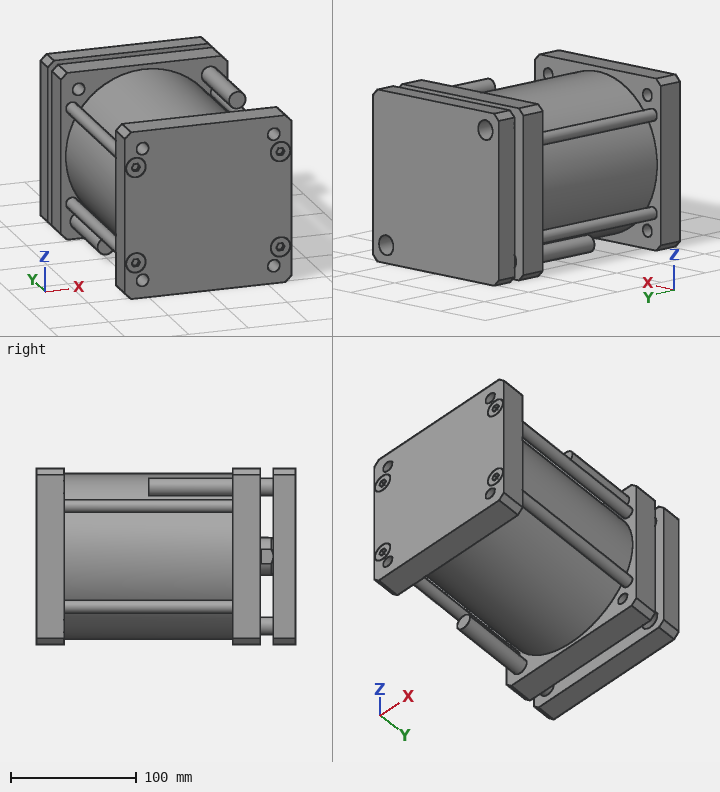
import cadquery as cq
import math

plate_width = 140.0
corner_chamfer = 5.2
total_length = 206.0
end_plate_thickness = 22.0
back_plate_thickness = 18.0
back_gap = 10.0

front_outer_y = -total_length / 2
front_inner_y = front_outer_y + end_plate_thickness
back_outer_y = total_length / 2
back_inner_y = back_outer_y - back_plate_thickness
middle_back_y = back_inner_y - back_gap
middle_front_y = middle_back_y - end_plate_thickness

tube_diameter = 132.0

tie_diameter = 10.0
tie_x = 60.8
tie_z = 40.0
head_diameter = 16.0
head_recess_diameter = 16.5
head_recess_depth = 10.0
socket_across_flats = 6.0
socket_depth = 3.0

corner_offset = 55.2
corner_hole_diameter = 10.0
back_hole_diameter = 16.0
pin_diameter = 14.0
pin_front_y = -13.8

piston_diameter = 30.0
piston_flat_width = 27.8
piston_collar = 0.8
piston_chamfer_length = 1.5
piston_chamfer_depth = 1.0

tie_points = [(x, z) for x in (-tie_x, tie_x) for z in (-tie_z, tie_z)]
pin_points = [(-corner_offset, -corner_offset), (corner_offset, corner_offset)]
open_points = [(-corner_offset, corner_offset), (corner_offset, -corner_offset)]


def section_at(y):
    """XZ sketch plane at the given Y whose extrusions run toward +Y."""
    return cq.Workplane(cq.Plane(origin=(0, y, 0), xDir=(1, 0, 0), normal=(0, 1, 0)))


def to_local(points):
    """The sketch plane's second axis points along -Z, so flip z."""
    return [(x, -z) for x, z in points]


def cylinders(points, diameter, y_start, y_end):
    sketch = section_at(y_start).pushPoints(to_local(points))
    return sketch.circle(diameter / 2).extrude(y_end - y_start)


def plate(y_start, y_end):
    block = section_at(y_start).rect(plate_width, plate_width).extrude(y_end - y_start)
    return block.edges("|Y").chamfer(corner_chamfer)


def front_plate():
    body = plate(front_outer_y, front_inner_y)
    holes = cylinders(pin_points + open_points, corner_hole_diameter, front_outer_y, front_inner_y)
    recess_floor_y = front_outer_y + head_recess_depth
    recesses = cylinders(tie_points, head_recess_diameter, front_outer_y, recess_floor_y)
    heads = cylinders(tie_points, head_diameter, front_outer_y, recess_floor_y)
    socket_across_corners = socket_across_flats / math.cos(math.pi / 6)
    sockets = (
        section_at(front_outer_y)
        .pushPoints(to_local(tie_points))
        .polygon(6, socket_across_corners)
        .extrude(socket_depth)
    )
    return body.cut(holes).cut(recesses).union(heads).cut(sockets)


def middle_plate():
    holes = cylinders(open_points, corner_hole_diameter, middle_front_y, middle_back_y)
    return plate(middle_front_y, middle_back_y).cut(holes)


def back_plate():
    holes = cylinders(open_points, back_hole_diameter, back_inner_y, back_outer_y)
    return plate(back_inner_y, back_outer_y).cut(holes)


def piston_rod():
    rod = cylinders([(0, 0)], piston_diameter, middle_back_y, back_inner_y)
    rod = rod.faces(">Y").chamfer(piston_chamfer_length, piston_chamfer_depth)
    collar = cylinders([(0, 0)], piston_diameter, middle_back_y, middle_back_y + piston_collar)
    between_flats = (
        section_at(middle_back_y)
        .rect(piston_flat_width, piston_diameter)
        .extrude(back_gap)
    )
    return rod.intersect(between_flats).union(collar)


tube = cylinders([(0, 0)], tube_diameter, front_inner_y, middle_front_y)
tie_rods = cylinders(tie_points, tie_diameter, front_inner_y, middle_front_y)
pins_ahead = cylinders(pin_points, pin_diameter, pin_front_y, middle_front_y)
pins_in_gap = cylinders(pin_points, pin_diameter, middle_back_y, back_inner_y)

result = (
    front_plate()
    .union(tube)
    .union(tie_rods)
    .union(middle_plate())
    .union(pins_ahead)
    .union(pins_in_gap)
    .union(piston_rod())
    .union(back_plate())
)